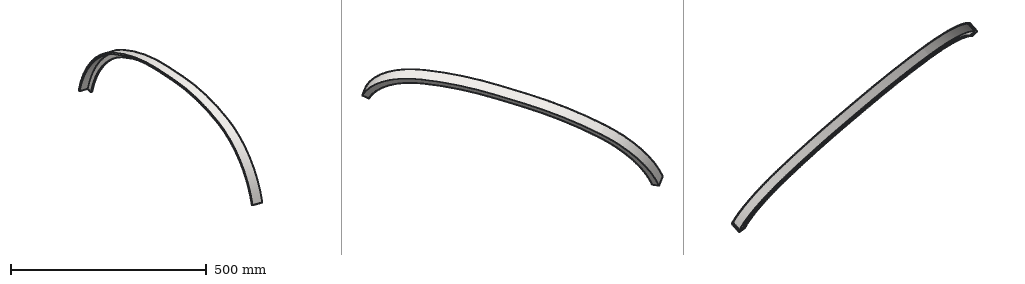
import cadquery as cq
import math

half_span = 402.0
strip_width = 30.0
section_depth = 19.0
flange_thickness = 5.0
web_thickness = 5.0

crown_half_length = 35.0
shoulder_end_x = 244.0
shoulder_radius = 599.5
end_angle = math.radians(74.5)

shoulder_angle = math.asin((shoulder_end_x - crown_half_length) / shoulder_radius)
end_radius = (half_span - shoulder_end_x) / (math.sin(end_angle) - math.sin(shoulder_angle))
shoulder_center = (crown_half_length, -shoulder_radius)
end_center = (
    shoulder_center[0] + (shoulder_radius - end_radius) * math.sin(shoulder_angle),
    shoulder_center[1] + (shoulder_radius - end_radius) * math.cos(shoulder_angle),
)


def arc_point(center, radius, angle):
    """Point on an arc, with the angle measured from vertical toward +X."""
    return (center[0] + radius * math.sin(angle), center[1] + radius * math.cos(angle))


def mirrored(point):
    return (-point[0], point[1])


def half_path(inset):
    """Points from the crown to the +X tip, inset from the outer face."""
    inset_shoulder = shoulder_radius - inset
    inset_end = end_radius - inset
    return [
        (crown_half_length, -inset),
        arc_point(shoulder_center, inset_shoulder, shoulder_angle / 2),
        arc_point(shoulder_center, inset_shoulder, shoulder_angle),
        arc_point(end_center, inset_end, (shoulder_angle + end_angle) / 2),
        arc_point(end_center, inset_end, end_angle),
    ]


def curved_band(depth, width):
    """Band of the given depth below the outer face, extending from Y = 0 toward -Y."""
    crown, shoulder_mid, shoulder, end_mid, tip = half_path(0)
    in_crown, in_shoulder_mid, in_shoulder, in_end_mid, in_tip = half_path(depth)
    return (
        cq.Workplane("XZ")
        .moveTo(*mirrored(tip))
        .threePointArc(mirrored(end_mid), mirrored(shoulder))
        .threePointArc(mirrored(shoulder_mid), mirrored(crown))
        .lineTo(*crown)
        .threePointArc(shoulder_mid, shoulder)
        .threePointArc(end_mid, tip)
        .lineTo(*in_tip)
        .threePointArc(in_end_mid, in_shoulder)
        .threePointArc(in_shoulder_mid, in_crown)
        .lineTo(*mirrored(in_crown))
        .threePointArc(mirrored(in_shoulder_mid), mirrored(in_shoulder))
        .threePointArc(mirrored(in_end_mid), mirrored(in_tip))
        .close()
        .extrude(width)
    )


flange = curved_band(flange_thickness, strip_width)
web = curved_band(section_depth, web_thickness)
result = flange.union(web)